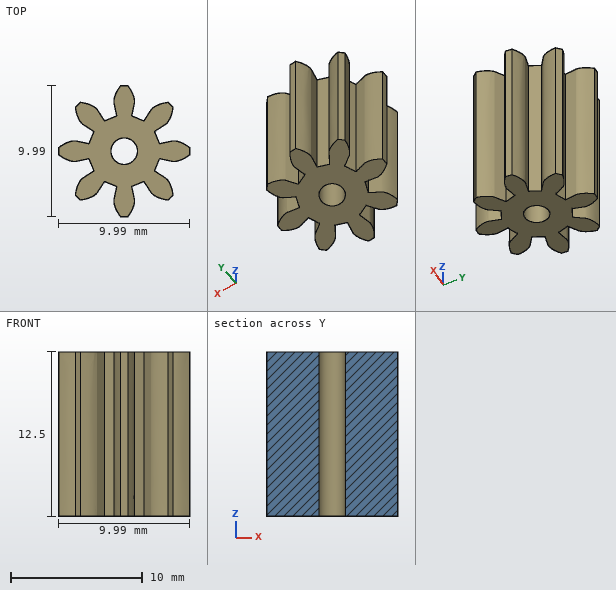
import cadquery as cq
import math

MODULE = 1.0
TOOTH_COUNT = 8
PRESSURE_ANGLE = math.radians(20)
ADDENDUM = MODULE
DEDENDUM = 1.25 * MODULE
FACE_WIDTH = 12.5
BORE_DIAMETER = 2.0
INVOLUTE_POINT_COUNT = 9

PITCH_RADIUS = MODULE * TOOTH_COUNT / 2
BASE_RADIUS = PITCH_RADIUS * math.cos(PRESSURE_ANGLE)
TIP_RADIUS = PITCH_RADIUS + ADDENDUM
ROOT_RADIUS = PITCH_RADIUS - DEDENDUM
TIP_ROLL_ANGLE = math.tan(math.acos(BASE_RADIUS / TIP_RADIUS))
TOOTH_PITCH_ANGLE = 2 * math.pi / TOOTH_COUNT


def involute(pressure_angle):
    """Polar angle swept by an involute up to the given pressure angle."""
    return math.tan(pressure_angle) - pressure_angle


def polar(radius, angle):
    return (radius * math.cos(angle), radius * math.sin(angle))


BASE_HALF_ANGLE = TOOTH_PITCH_ANGLE / 4 + involute(PRESSURE_ANGLE)


def involute_flank(tooth_angle, side):
    """Points from base circle to tip circle; side is -1 or +1 about the tooth centre."""
    points = []
    for i in range(INVOLUTE_POINT_COUNT):
        roll_angle = TIP_ROLL_ANGLE * i / (INVOLUTE_POINT_COUNT - 1)
        radius = BASE_RADIUS * math.hypot(1, roll_angle)
        half_angle = BASE_HALF_ANGLE - involute(math.atan(roll_angle))
        points.append(polar(radius, tooth_angle + side * half_angle))
    return points


def add_tooth(outline, tooth_angle):
    """Draw one tooth and the flat root land that follows it, counter-clockwise."""
    rising = involute_flank(tooth_angle, -1)
    falling = involute_flank(tooth_angle, 1)[::-1]
    next_root_angle = tooth_angle + TOOTH_PITCH_ANGLE - BASE_HALF_ANGLE

    outline = outline.lineTo(*rising[0])
    outline = outline.spline(rising[1:], includeCurrent=True)
    outline = outline.lineTo(*falling[0])
    outline = outline.spline(falling[1:], includeCurrent=True)
    outline = outline.lineTo(*polar(ROOT_RADIUS, tooth_angle + BASE_HALF_ANGLE))
    return outline.lineTo(*polar(ROOT_RADIUS, next_root_angle))


def toothed_blank():
    outline = cq.Workplane("XY").moveTo(*polar(ROOT_RADIUS, -BASE_HALF_ANGLE))
    for tooth in range(TOOTH_COUNT):
        outline = add_tooth(outline, tooth * TOOTH_PITCH_ANGLE)
    return outline.close().extrude(FACE_WIDTH)


def bore():
    return cq.Workplane("XY").circle(BORE_DIAMETER / 2).extrude(FACE_WIDTH)


result = toothed_blank().cut(bore())